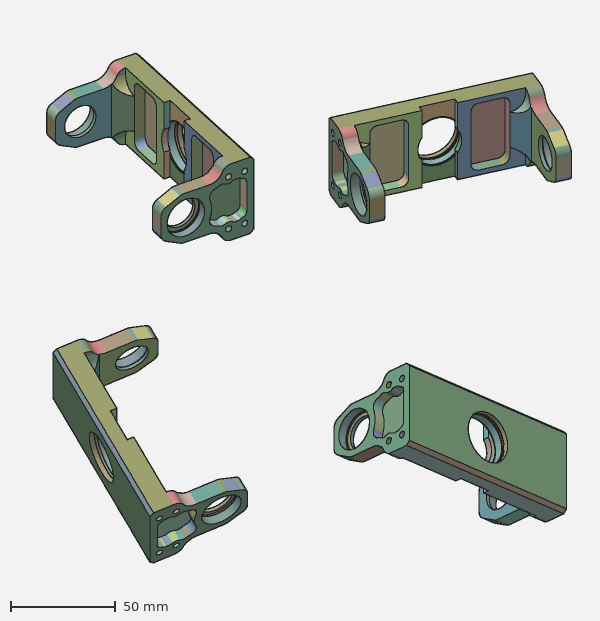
import cadquery as cq
import math


LENGTH = 104.0
DEPTH = 52.0
HEIGHT = 44.0

PLATE_THICKNESS = 12.7
ARM_THICKNESS = 8.0
BACK_CHAMFER = 2.0
SHOULDER_RADIUS = 5.5
NECK_RADIUS = 8.0
NECK_HALF_HEIGHT = 14.1
TAPER_START = 40.4
TIP_HALF_HEIGHT = 8.4
TAPER_FILLET = 5.0

ARM_BORE_DISTANCE = 38.1
ARM_BORE_RADIUS = 8.7
ARM_SEAT_RADIUS = 10.5
ARM_SEAT_DEPTH = 6.0
SEAT_RELIEF_WIDTH = 1.0
SEAT_RELIEF_STEP = 0.3

SCREW_RADIUS = 1.7
SCREW_DEPTH = 5.2
SCREW_DISTANCES = (5.1, 14.1)
SCREW_HALF_SPACING = 15.0
DRILL_POINT_ANGLE = 118.0

END_POCKET_DEPTH = 6.0
END_POCKET_WALL = 4.0
END_POCKET_HALF_HEIGHT = 12.2
END_POCKET_CORNER = 3.1
END_POCKET_NECK_CORNER = 4.2
SCREW_CLEARANCE_RADIUS = 4.0

FRONT_POCKET_WIDTH = 20.0
FRONT_POCKET_HEIGHT = 38.2
FRONT_POCKET_CORNER = 4.0
FRONT_POCKET_DEPTH = 6.0

GUSSET_LEG = 8.0
GUSSET_HALF_HEIGHT = 10.1

CHANNEL_WIDTH = 18.2
CHANNEL_DEPTH = 3.4
LIP_RADIUS = 11.2
CENTER_BORE_RADIUS = 13.0
MOUTH_STEP = 0.5
RING_GROOVE_DISTANCE = 2.8
RING_GROOVE_WIDTH = 1.4
RING_GROOVE_RADIUS = 13.5

HALF_LENGTH = LENGTH / 2
HALF_HEIGHT = HEIGHT / 2
ARM_INNER_X = HALF_LENGTH - ARM_THICKNESS
CHANNEL_FLOOR = PLATE_THICKNESS - CHANNEL_DEPTH
SCREW_CENTERS = [
    (distance, z)
    for distance in SCREW_DISTANCES
    for z in (-SCREW_HALF_SPACING, SCREW_HALF_SPACING)
]

SELECT_MARGIN = 1.0

SHOULDER_DROP = HALF_HEIGHT - NECK_HALF_HEIGHT
SHOULDER_ANGLE = math.acos(1 - SHOULDER_DROP / (SHOULDER_RADIUS + NECK_RADIUS))
NECK_START = PLATE_THICKNESS + (SHOULDER_RADIUS + NECK_RADIUS) * math.sin(SHOULDER_ANGLE)
NECK_CENTER_Z = NECK_HALF_HEIGHT + NECK_RADIUS


def shoulder_point(angle):
    """Point on the shoulder arc, as (distance from back, height)."""
    return (
        PLATE_THICKNESS + SHOULDER_RADIUS * math.sin(angle),
        HALF_HEIGHT - SHOULDER_RADIUS * (1 - math.cos(angle)),
    )


def neck_point(angle):
    """Point on the neck arc, as (distance from back, height)."""
    return (
        NECK_START - NECK_RADIUS * math.sin(angle),
        NECK_CENTER_Z - NECK_RADIUS * math.cos(angle),
    )


def yz_sketch(x):
    """Workplane at the given X; local axes are distance from the back and height, normal -X."""
    return cq.Workplane(cq.Plane(origin=(x, 0, 0), xDir=(0, -1, 0), normal=(-1, 0, 0)))


def xz_sketch(distance):
    """Workplane parallel to the back at the given distance from it; normal -Y."""
    return cq.Workplane("XZ", origin=(0, -distance, 0))


def mirrored(solid):
    """The solid together with its mirror image on the other end of the part."""
    return solid.union(solid.mirror("YZ"))


def side_profile():
    """Side outline of the part, extruded over the full length."""
    half = (
        yz_sketch(HALF_LENGTH)
        .moveTo(0, 0)
        .lineTo(0, HALF_HEIGHT - BACK_CHAMFER)
        .lineTo(BACK_CHAMFER, HALF_HEIGHT)
        .lineTo(PLATE_THICKNESS, HALF_HEIGHT)
        .threePointArc(shoulder_point(SHOULDER_ANGLE / 2), shoulder_point(SHOULDER_ANGLE))
        .threePointArc(neck_point(SHOULDER_ANGLE / 2), neck_point(0))
        .lineTo(TAPER_START, NECK_HALF_HEIGHT)
        .lineTo(DEPTH, TIP_HALF_HEIGHT)
        .lineTo(DEPTH, 0)
        .close()
        .extrude(LENGTH)
    )
    taper_corners = cq.selectors.BoxSelector(
        (-HALF_LENGTH, -DEPTH - SELECT_MARGIN, TIP_HALF_HEIGHT - SELECT_MARGIN),
        (HALF_LENGTH, -TAPER_START + SELECT_MARGIN, NECK_HALF_HEIGHT + SELECT_MARGIN),
    )
    half = half.edges("|X").edges(taper_corners).fillet(TAPER_FILLET)
    return half.union(half.mirror("XY"))


def gusset():
    """Sloped gusset at the +X arm, flared by a concave fillet against the arm."""
    flare_z = GUSSET_HALF_HEIGHT + GUSSET_LEG
    wedge = (
        cq.Workplane("XY", origin=(0, 0, -flare_z))
        .moveTo(ARM_INNER_X, -PLATE_THICKNESS)
        .lineTo(ARM_INNER_X - GUSSET_LEG, -PLATE_THICKNESS)
        .lineTo(ARM_INNER_X, -PLATE_THICKNESS - GUSSET_LEG)
        .close()
        .extrude(2 * flare_z)
    )
    flare_cutter = (
        xz_sketch(PLATE_THICKNESS)
        .pushPoints([(ARM_INNER_X - GUSSET_LEG, z) for z in (-flare_z, flare_z)])
        .circle(GUSSET_LEG)
        .extrude(GUSSET_LEG)
    )
    return wedge.cut(flare_cutter)


def bracket_body():
    """U-shaped body: plate, two arms and gussets within the side outline."""
    profile = side_profile()
    opening = (
        xz_sketch(PLATE_THICKNESS)
        .rect(2 * ARM_INNER_X, HEIGHT)
        .extrude(DEPTH)
    )
    gussets = mirrored(gusset()).intersect(profile)
    return profile.cut(opening).union(gussets)


def arm_seat():
    """Stepped bore through the +X arm with a relief groove at the seat floor."""
    center = (ARM_BORE_DISTANCE, 0)
    bore = yz_sketch(HALF_LENGTH).center(*center).circle(ARM_BORE_RADIUS).extrude(ARM_THICKNESS)
    seat = yz_sketch(HALF_LENGTH).center(*center).circle(ARM_SEAT_RADIUS).extrude(ARM_SEAT_DEPTH)
    relief = (
        yz_sketch(HALF_LENGTH - ARM_SEAT_DEPTH + SEAT_RELIEF_WIDTH)
        .center(*center)
        .circle(ARM_SEAT_RADIUS + SEAT_RELIEF_STEP)
        .extrude(SEAT_RELIEF_WIDTH)
    )
    return bore.union(seat).union(relief)


def screw_holes():
    """Blind drilled holes with conical ends in the +X end face."""
    point_length = SCREW_RADIUS / math.tan(math.radians(DRILL_POINT_ANGLE / 2))
    drill = (
        cq.Workplane("XZ")
        .polyline([
            (HALF_LENGTH, 0),
            (HALF_LENGTH, SCREW_RADIUS),
            (HALF_LENGTH - SCREW_DEPTH, SCREW_RADIUS),
            (HALF_LENGTH - SCREW_DEPTH - point_length, 0),
        ])
        .close()
        .revolve(360, (0, 0, 0), (1, 0, 0))
    )
    holes = cq.Workplane("XY")
    for distance, z in SCREW_CENTERS:
        holes = holes.add(drill.translate((0, -distance, z)))
    return holes.combine()


def end_pocket():
    """Pocket in the +X end face, keeping an even wall to screw holes, neck and bearing seat."""
    depth = END_POCKET_DEPTH
    step = SCREW_DISTANCES[-1]
    far_end = ARM_BORE_DISTANCE - ARM_BORE_RADIUS
    blank = (
        yz_sketch(HALF_LENGTH)
        .moveTo(END_POCKET_WALL, -END_POCKET_HALF_HEIGHT)
        .lineTo(step, -END_POCKET_HALF_HEIGHT)
        .lineTo(step, -SCREW_HALF_SPACING)
        .lineTo(far_end, -SCREW_HALF_SPACING)
        .lineTo(far_end, SCREW_HALF_SPACING)
        .lineTo(step, SCREW_HALF_SPACING)
        .lineTo(step, END_POCKET_HALF_HEIGHT)
        .lineTo(END_POCKET_WALL, END_POCKET_HALF_HEIGHT)
        .close()
        .extrude(depth)
    )
    clearances = (
        (SCREW_CENTERS, SCREW_CLEARANCE_RADIUS),
        ([(NECK_START, -NECK_CENTER_Z), (NECK_START, NECK_CENTER_Z)], NECK_RADIUS + END_POCKET_WALL),
        ([(ARM_BORE_DISTANCE, 0)], ARM_SEAT_RADIUS + END_POCKET_WALL),
    )
    for centers, radius in clearances:
        blank = blank.cut(yz_sketch(HALF_LENGTH).pushPoints(centers).circle(radius).extrude(depth))
    inner_corners = cq.selectors.BoxSelector(
        (0, -NECK_START, -HALF_HEIGHT), (HALF_LENGTH, 0, HALF_HEIGHT)
    )
    neck_corners = cq.selectors.BoxSelector(
        (0, -far_end, -HALF_HEIGHT), (HALF_LENGTH, -NECK_START, HALF_HEIGHT)
    )
    pocket = blank.edges("|X").edges(inner_corners).fillet(END_POCKET_CORNER)
    return pocket.edges("|X").edges(neck_corners).fillet(END_POCKET_NECK_CORNER)


def front_pocket():
    """Rounded rectangular pocket in the plate, next to the +X gusset."""
    center_x = ARM_INNER_X - GUSSET_LEG - FRONT_POCKET_WIDTH / 2
    return (
        xz_sketch(PLATE_THICKNESS - FRONT_POCKET_DEPTH)
        .center(center_x, 0)
        .rect(FRONT_POCKET_WIDTH, FRONT_POCKET_HEIGHT)
        .extrude(FRONT_POCKET_DEPTH + GUSSET_LEG)
        .edges("|Y")
        .fillet(FRONT_POCKET_CORNER)
    )


def channel():
    """Vertical channel across the middle of the plate."""
    return xz_sketch(CHANNEL_FLOOR).rect(CHANNEL_WIDTH, HEIGHT).extrude(CHANNEL_DEPTH)


def center_bore():
    """Bearing bore with a ring groove, a widened mouth at the channel floor and a narrow front lip."""
    lip = xz_sketch(0).circle(LIP_RADIUS).extrude(PLATE_THICKNESS)
    bore = xz_sketch(0).circle(CENTER_BORE_RADIUS).extrude(CHANNEL_FLOOR)
    groove = xz_sketch(RING_GROOVE_DISTANCE).circle(RING_GROOVE_RADIUS).extrude(RING_GROOVE_WIDTH)
    mouth = (
        xz_sketch(CHANNEL_FLOOR - MOUTH_STEP)
        .circle(CENTER_BORE_RADIUS + MOUTH_STEP)
        .extrude(MOUTH_STEP)
    )
    return lip.union(bore).union(groove).union(mouth)


result = bracket_body()
for cutter in (arm_seat(), screw_holes(), end_pocket(), front_pocket()):
    result = result.cut(mirrored(cutter))
result = result.cut(channel()).cut(center_bore())